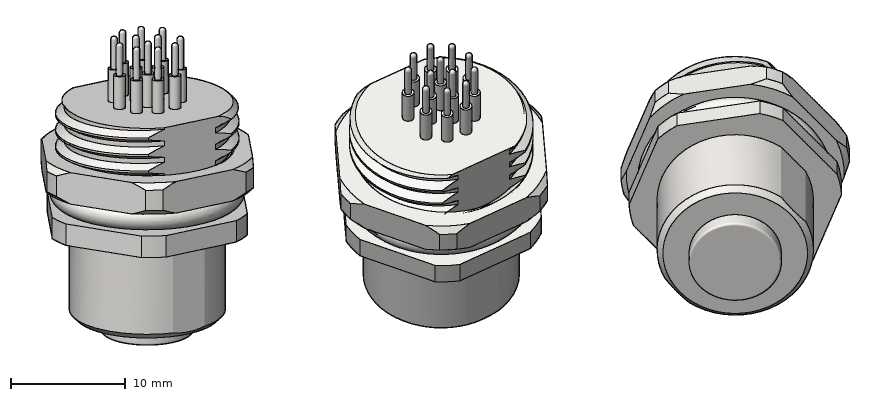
import cadquery as cq
import math

body_bottom = 1.48
flange_bottom = 9.88
flange_top = 11.85
nut_bottom = 13.93
nut_top = 16.82
thread_top = 21.05
sleeve_top = 24.05
overall_height = 27.0

nose_radius = 4.02
nose_edge_fillet = 0.2
body_radius = 6.8
body_flat_width = 13.2
edge_chamfer = 0.5

flange_across_flats = 17.0
flange_corner_radius = 9.25
nut_across_flats = 18.0
nut_corner_radius = 10.0
nut_lead_in_radius = 7.6

thread_radius = 8.0
root_radius = 7.24
thread_pitch = 1.5
flank_angle = math.radians(30)
crest_width = thread_pitch / 8
thread_flat_width = 13.45
thread_start = 12.72
thread_start_angle = -50
thread_turns = 6
tooth_overlap = 0.14
core_seam_angle = 37
thread_clearance = 0.14

seal_tube_radius = 1.0
seal_outer_radius = 8.5

sleeve_radius = 0.5
pin_radius = 0.3
outer_pin_circle = 2.9
outer_pin_count = 9
outer_pin_step = 37.7
inner_pin_circle = 1.1
inner_pin_count = 3


def cylinder(radius, bottom, top):
    return cq.Workplane("XY").workplane(offset=bottom).circle(radius).extrude(top - bottom)


def double_flat(width, bottom, top):
    """Slab as long as the part in Y; meeting a round, it leaves two flats facing -X and +X."""
    length = 2 * nut_corner_radius
    return cq.Workplane("XY").workplane(offset=bottom).rect(width, length).extrude(top - bottom)


def hexagon(across_flats, bottom, top):
    """Hexagonal prism with flats facing -X and +X and corners on the Y axis."""
    corner_diameter = across_flats / math.cos(math.radians(30))
    prism = cq.Workplane("XY").workplane(offset=bottom).polygon(6, corner_diameter).extrude(top - bottom)
    return prism.rotate((0, 0, 0), (0, 0, 1), 30)


def thread_tooth():
    """Right-handed helical ridge, its base sunk a little below the root cylinder."""
    base_radius = root_radius - tooth_overlap
    half_crest = crest_width / 2
    half_base = half_crest + (thread_radius - base_radius) * math.tan(flank_angle)
    helix = cq.Wire.makeHelix(thread_pitch, thread_turns * thread_pitch, root_radius)
    tooth = (
        cq.Workplane("XZ")
        .polyline([
            (base_radius, -half_base),
            (thread_radius, -half_crest),
            (thread_radius, half_crest),
            (base_radius, half_base),
        ])
        .close()
        .sweep(cq.Workplane(helix), isFrenet=True)
    )
    return tooth.rotate((0, 0, 0), (0, 0, 1), thread_start_angle).translate((0, 0, thread_start))


def threaded_rod():
    """Full round thread, running past the nut and the threaded end on both sides."""
    core_bottom = thread_start - thread_pitch
    core_top = thread_start + (thread_turns + 1) * thread_pitch
    core = cylinder(root_radius, core_bottom, core_top)
    core = core.rotate((0, 0, 0), (0, 0, 1), core_seam_angle)
    return core.union(thread_tooth())


def thread_envelope():
    """Space the housing thread may fill: two side flats and a chamfered top edge."""
    top_radius = thread_radius - edge_chamfer
    round_radius = thread_radius + thread_clearance
    chamfer = round_radius - top_radius
    envelope = cylinder(round_radius, nut_bottom, thread_top).faces(">Z").chamfer(chamfer)
    return envelope.intersect(double_flat(thread_flat_width, nut_bottom, thread_top))


def seal_ring():
    centre_radius = seal_outer_radius - seal_tube_radius
    centre_height = (flange_top + nut_bottom) / 2
    return (
        cq.Workplane("XZ")
        .center(centre_radius, centre_height)
        .circle(seal_tube_radius)
        .revolve(360, (-centre_radius, 0), (-centre_radius, 1))
    )


def pin_positions():
    """Outer ring of pins, evenly stepped about -Y with a wider gap at +Y, and an inner triangle."""
    middle_pin = (outer_pin_count - 1) / 2
    positions = []
    for i in range(outer_pin_count):
        angle = math.radians(-90 + (i - middle_pin) * outer_pin_step)
        positions.append((outer_pin_circle * math.cos(angle), outer_pin_circle * math.sin(angle)))
    for i in range(inner_pin_count):
        angle = math.radians(90 + i * 360 / inner_pin_count)
        positions.append((inner_pin_circle * math.cos(angle), inner_pin_circle * math.sin(angle)))
    return positions


def contact_pin():
    """Stepped pin on the Z axis: a thick sleeve below a thin tip with a round end."""
    sleeve = cylinder(sleeve_radius, thread_top, sleeve_top)
    dome_centre = overall_height - pin_radius
    tip = cylinder(pin_radius, sleeve_top, dome_centre)
    dome = cq.Workplane("XY").workplane(offset=dome_centre).sphere(pin_radius)
    return sleeve.union(tip).union(dome)


def make_housing(rod):
    nose = cylinder(nose_radius, 0, body_bottom).faces("<Z").edges().fillet(nose_edge_fillet)
    body = cylinder(body_radius, body_bottom, flange_bottom).faces("<Z").chamfer(edge_chamfer)
    body = body.intersect(double_flat(body_flat_width, body_bottom, flange_bottom))
    flange = hexagon(flange_across_flats, flange_bottom, flange_top)
    flange = flange.intersect(cylinder(flange_corner_radius, flange_bottom, flange_top))
    neck = cylinder(root_radius, flange_top, nut_bottom)
    neck = neck.intersect(double_flat(thread_flat_width, flange_top, nut_bottom))
    thread = rod.intersect(thread_envelope())
    lower_part = nose.union(body).union(flange).union(neck).union(seal_ring())
    pins = [contact_pin().translate((x, y, 0)) for x, y in pin_positions()]
    return lower_part.val().fuse(thread.val(), *[pin.val() for pin in pins])


def make_nut(rod):
    blank = hexagon(nut_across_flats, nut_bottom, nut_top)
    corners = cylinder(nut_corner_radius, nut_bottom, nut_top).faces("<Z or >Z").chamfer(edge_chamfer)
    lead_in_depth = nut_lead_in_radius - root_radius
    lead_in = cq.Workplane(cq.Solid.makeCone(
        root_radius, nut_lead_in_radius, lead_in_depth, pnt=cq.Vector(0, 0, nut_top - lead_in_depth)
    ))
    return blank.intersect(corners).cut(rod).cut(lead_in)


rod = threaded_rod()
housing = make_housing(rod)
nut = make_nut(rod)

result = cq.Compound.makeCompound([*housing.Solids(), *nut.solids().vals()])